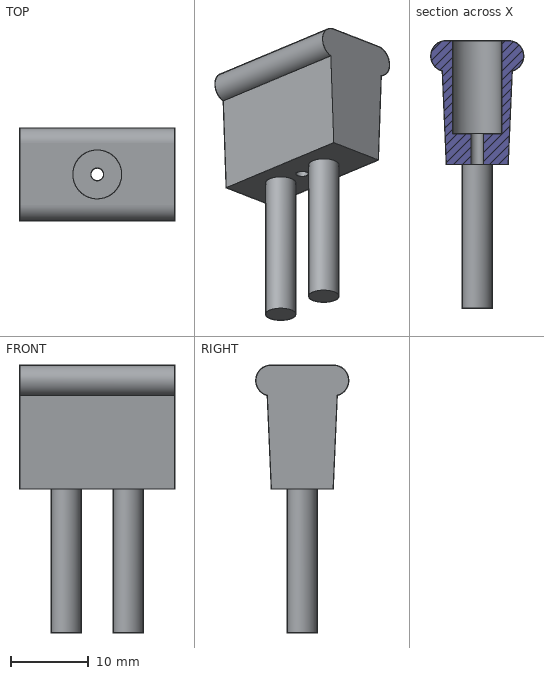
import cadquery as cq
import math

body_length = 20.0
body_height = 16.0
head_width = 12.0
bead_radius = 2.0
base_width = 8.0
neck_width = 9.05

bore_diameter = 6.3
bore_depth = 12.0
through_diameter = 1.6

pin_diameter = 3.9
pin_length = 18.5
pin_spacing = 8.0

bead_y = head_width / 2 - bead_radius
bead_z = body_height - bead_radius
neck_y = neck_width / 2
neck_z = bead_z - math.sqrt(bead_radius**2 - (neck_y - bead_y) ** 2)


def make_body():
    """Extrude the YZ section along X, centred on the origin."""
    base_y = base_width / 2
    outer_y = head_width / 2
    section = (
        cq.Workplane("YZ")
        .moveTo(-base_y, 0)
        .lineTo(base_y, 0)
        .lineTo(neck_y, neck_z)
        .threePointArc((outer_y, bead_z), (bead_y, body_height))
        .lineTo(-bead_y, body_height)
        .threePointArc((-outer_y, bead_z), (-neck_y, neck_z))
        .close()
    )
    return section.extrude(body_length / 2, both=True)


def cut_stepped_hole(body):
    """Cut the wide bore from the top and the narrow hole through its floor."""
    return (
        body.faces(">Z")
        .workplane(origin=(0, 0, body_height))
        .cboreHole(through_diameter, bore_diameter, bore_depth)
    )


def make_pins():
    """Two pins hanging from the underside, side by side along X."""
    return (
        cq.Workplane("XY")
        .pushPoints([(-pin_spacing / 2, 0), (pin_spacing / 2, 0)])
        .circle(pin_diameter / 2)
        .extrude(-pin_length)
    )


result = cut_stepped_hole(make_body()).union(make_pins())